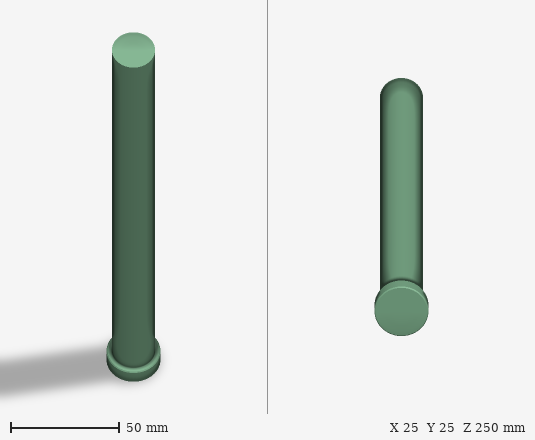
import cadquery as cq

total_length = 250.0
shank_radius = 10.0
head_radius = 12.5
head_height = 8.0

head_chamfer = 0.5
root_fillet = 0.5

root_arc_end = (-shank_radius, head_height + root_fillet)
root_arc_start = (-shank_radius - root_fillet, head_height)
profile = (
    cq.Workplane("XZ")
    .moveTo(0, 0)
    .lineTo(-head_radius + head_chamfer, 0)
    .lineTo(-head_radius, head_chamfer)
    .lineTo(-head_radius, head_height - head_chamfer)
    .lineTo(-head_radius + head_chamfer, head_height)
    .lineTo(*root_arc_start)
    .radiusArc(root_arc_end, -root_fillet)
    .lineTo(-shank_radius, total_length)
    .lineTo(0, total_length)
    .close()
)

result = profile.revolve(360, (0, 0, 0), (0, 1, 0))